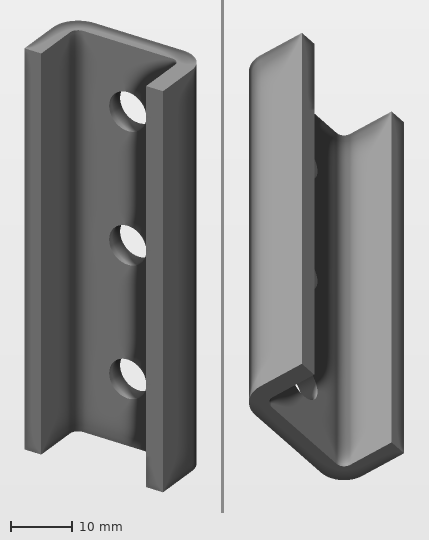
import cadquery as cq

length = 74.6
width = 27.0
depth = 13.5
wall = 3.3
inner_radius = 1.6
outer_radius = inner_radius + wall

hole_diameter = 7.2
hole_count = 3
hole_pitch = length / hole_count


def rounded_block(block_width, block_depth, corner_radius):
    """Full-length block from the open side (y = 0), with its two rear edges rounded."""
    return (
        cq.Workplane("XY")
        .rect(block_width, 2 * block_depth)
        .extrude(length)
        .edges("|Z and >Y")
        .fillet(corner_radius)
    )


def web_holes():
    """Cylinders along Y, centred across the width and evenly spaced along Z."""
    return (
        cq.Workplane("XZ", origin=(0, depth, length / 2))
        .rarray(0.75, hole_pitch, 1, hole_count)
        .circle(hole_diameter / 2)
        .extrude(depth)
    )


open_side = cq.Workplane("XY").box(width, depth, length, centered=(True, False, False))
outer = rounded_block(width, depth, outer_radius).intersect(open_side)
cavity = rounded_block(width - 2 * wall, depth - wall, inner_radius)

result = outer.cut(cavity).cut(web_holes())